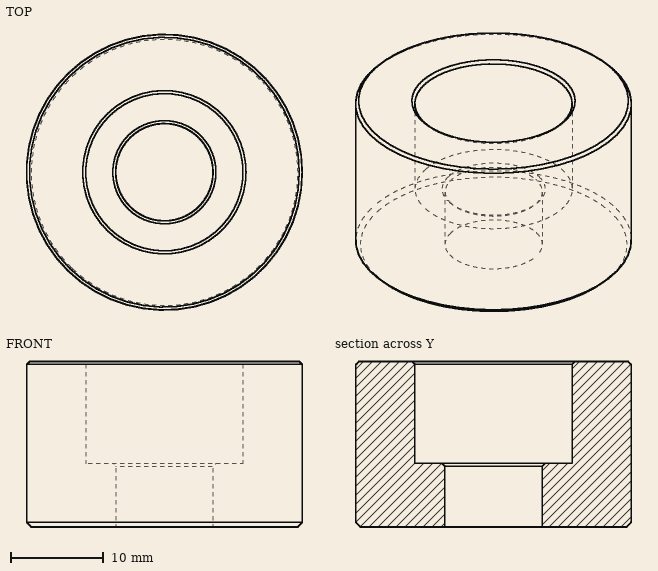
import cadquery as cq

outer_diameter = 29.8
height = 17.9
top_chamfer = 0.33
bottom_chamfer = 0.5

counterbore_diameter = 17.0
counterbore_depth = 11.0
hole_diameter = 10.5
bore_chamfer = 0.33

outer_radius = outer_diameter / 2
counterbore_radius = counterbore_diameter / 2
hole_radius = hole_diameter / 2
floor_height = height - counterbore_depth

section = [
    (hole_radius, 0),
    (outer_radius - bottom_chamfer, 0),
    (outer_radius, bottom_chamfer),
    (outer_radius, height - top_chamfer),
    (outer_radius - top_chamfer, height),
    (counterbore_radius + bore_chamfer, height),
    (counterbore_radius, height - bore_chamfer),
    (counterbore_radius, floor_height),
    (hole_radius + bore_chamfer, floor_height),
    (hole_radius, floor_height - bore_chamfer),
]

result = cq.Workplane("XZ").polyline(section).close().revolve(360, (0, 0), (0, 1))